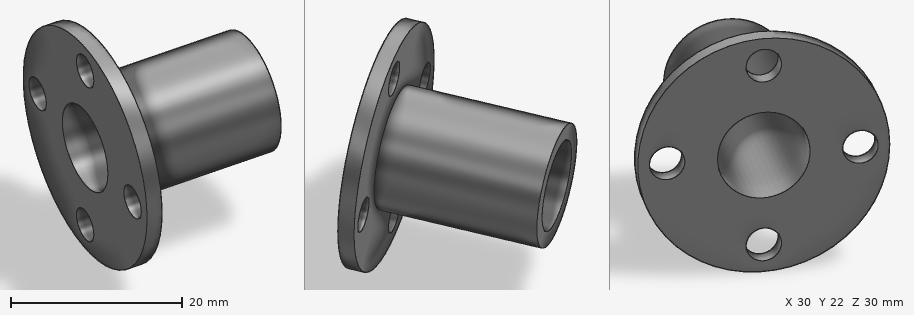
import cadquery as cq

flange_diameter = 30.0
flange_thickness = 2.0
overall_length = 22.0
tube_diameter = flange_diameter / 2
bore_diameter = 11.0
bolt_hole_diameter = 4.2
bolt_circle_diameter = 23.0
bolt_hole_count = 4


def cylinder_along_y(diameter, length):
    """Cylinder on the Y axis, from the flange face at Y = 0 toward +Y."""
    return cq.Workplane("XZ").circle(diameter / 2).extrude(-length)


def bolt_holes():
    """Evenly spaced cutters through the flange, the first one on the +X side."""
    return (
        cq.Workplane("XZ")
        .polarArray(bolt_circle_diameter / 2, 0, 360, bolt_hole_count)
        .circle(bolt_hole_diameter / 2)
        .extrude(-flange_thickness)
    )


flange = cylinder_along_y(flange_diameter, flange_thickness)
tube = cylinder_along_y(tube_diameter, overall_length)
bore = cylinder_along_y(bore_diameter, overall_length)

result = flange.union(tube).cut(bore).cut(bolt_holes())